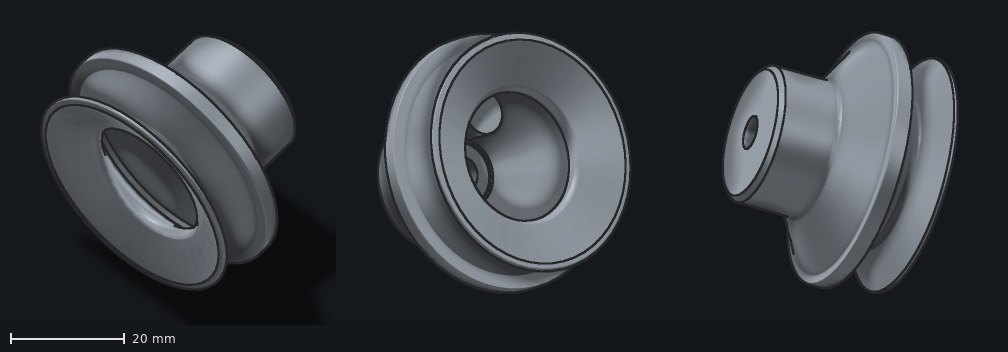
import cadquery as cq


LIP_THICKNESS = 0.87
WAIST_Y = 4.5
FLANGE_FRONT_Y = 9.65
FLANGE_BACK_Y = 12.7
NECK_START_Y = 18.95
TOTAL_LENGTH = 30.5

LIP_RADIUS = 21.4
LIP_FACE_OUTER_RADIUS = 20.8
LIP_BACK_RADIUS = 21.25
WAIST_RADIUS = 13.05
FLANGE_RADIUS = 23.0
FRONT_CONE_RADIUS = 20.42
BACK_CONE_RADIUS = 21.4
NECK_RADIUS = 12.5

WAIST_FILLET = 0.95
FLANGE_FILLET = 0.35
NECK_FILLET = 1.0
NECK_CHAMFER = 1.0

MOUTH_RADIUS = 20.05
THROAT_RADIUS = 9.85
THROAT_Y = 4.32
THROAT_FILLET = 1.6
CAVITY_RADIUS = 18.4
CAVITY_FRONT_Y = 10.35
CAVITY_BACK_Y = 11.7
SEAT_RADIUS = 6.03
SEAT_Y = 20.5

RECESS_RADIUS = 5.5
RECESS_DEPTH = 0.45
BORE_RADIUS = 3.0

STUD_RADIUS = 3.95
STUD_CENTER_Z = SEAT_RADIUS + STUD_RADIUS


def circle_edges(solid, radius, y):
    """Select the circular edge of the given radius centred on the axis at y."""
    margin = 0.025
    box = cq.selectors.BoxSelector(
        (-margin, y - margin, -margin),
        (margin, y + margin, margin),
    )
    edges = solid.edges("%CIRCLE").edges(box)
    return edges.filter(lambda edge: abs(edge.radius() - radius) < margin)


def revolve_about_y(profile):
    return profile.close().revolve(360, (0, 0, 0), (0, 1, 0))


def make_body():
    """Lip, waist, flange, back cone and neck as one solid of revolution."""
    profile = (
        cq.Workplane("XY")
        .lineTo(LIP_FACE_OUTER_RADIUS, 0)
        .threePointArc((LIP_RADIUS, LIP_THICKNESS / 2), (LIP_BACK_RADIUS, LIP_THICKNESS))
        .lineTo(WAIST_RADIUS, WAIST_Y)
        .lineTo(FRONT_CONE_RADIUS, FLANGE_FRONT_Y)
        .lineTo(FLANGE_RADIUS, FLANGE_FRONT_Y)
        .lineTo(FLANGE_RADIUS, FLANGE_BACK_Y)
        .lineTo(BACK_CONE_RADIUS, FLANGE_BACK_Y)
        .lineTo(NECK_RADIUS, NECK_START_Y)
        .lineTo(NECK_RADIUS, TOTAL_LENGTH)
        .lineTo(0, TOTAL_LENGTH)
    )
    body = revolve_about_y(profile)
    rounded_edges = [
        (WAIST_RADIUS, WAIST_Y, WAIST_FILLET),
        (FRONT_CONE_RADIUS, FLANGE_FRONT_Y, FLANGE_FILLET),
        (FLANGE_RADIUS, FLANGE_FRONT_Y, FLANGE_FILLET),
        (FLANGE_RADIUS, FLANGE_BACK_Y, FLANGE_FILLET),
        (BACK_CONE_RADIUS, FLANGE_BACK_Y, FLANGE_FILLET),
        (NECK_RADIUS, NECK_START_Y, NECK_FILLET),
    ]
    for radius, y, fillet in rounded_edges:
        body = circle_edges(body, radius, y).fillet(fillet)
    return circle_edges(body, NECK_RADIUS, TOTAL_LENGTH).chamfer(NECK_CHAMFER)


def make_cavity():
    """Hollow of the cup: lip cone, throat, wide bellows chamber and seat."""
    profile = (
        cq.Workplane("XY")
        .lineTo(MOUTH_RADIUS, 0)
        .lineTo(THROAT_RADIUS, THROAT_Y)
        .lineTo(CAVITY_RADIUS, CAVITY_FRONT_Y)
        .lineTo(CAVITY_RADIUS, CAVITY_BACK_Y)
        .lineTo(SEAT_RADIUS, SEAT_Y)
        .lineTo(0, SEAT_Y)
    )
    cavity = revolve_about_y(profile)
    return circle_edges(cavity, THROAT_RADIUS, THROAT_Y).fillet(THROAT_FILLET)


def cylinder_along_y(radius, start_y, end_y, center_z=0):
    return (
        cq.Workplane("XZ", origin=(0, start_y, center_z))
        .circle(radius)
        .extrude(start_y - end_y)
    )


def make_stud():
    """Stud whose end lies where the cavity cone reaches the stud's far side."""
    cone_slope = (SEAT_Y - CAVITY_BACK_Y) / (CAVITY_RADIUS - SEAT_RADIUS)
    end_y = SEAT_Y - cone_slope * 2 * STUD_RADIUS
    return cylinder_along_y(STUD_RADIUS, end_y, SEAT_Y, STUD_CENTER_Z)


body = make_body()
stud = make_stud().intersect(body)
recess = cylinder_along_y(RECESS_RADIUS, SEAT_Y, SEAT_Y + RECESS_DEPTH)
bore = cylinder_along_y(BORE_RADIUS, SEAT_Y, TOTAL_LENGTH)

result = body.cut(make_cavity()).union(stud).cut(recess).cut(bore)